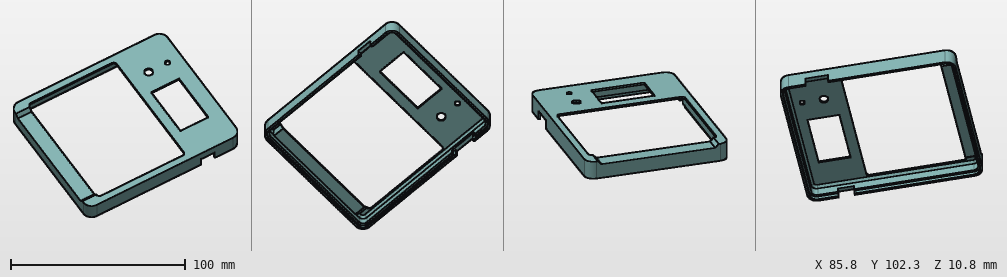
import cadquery as cq

WIDTH = 85.8
LENGTH = 102.3
HEIGHT = 10.8
CORNER_RADIUS = 5.5
TOP_THICKNESS = 1.2
WALL = 2.5

RIM_WALL = 1.2
RIM_HEIGHT = 2.4

WINDOW_WIDTH = 77.1
WINDOW_LENGTH = 58.3
WINDOW_RADIUS = 1.9
FRONT_BAR = 9.3

CHANNEL_DEPTH = 2.1
CHANNEL_FLOOR_WIDTH = 68.7

DISPLAY_WIDTH = 32.1
DISPLAY_LENGTH = 18.6
DISPLAY_CENTER = (7.0, 32.1)
HOLE_X = -22.2
LED_HOLE_DIAMETER = 3.0
LED_HOLE_Y = 41.7
BUTTON_HOLE_DIAMETER = 5.0
BUTTON_HOLE_Y = 29.1

NOTCH_Y = 29.1
NOTCH_HEIGHT = 5.2
LEFT_NOTCH_WIDTH = 13.2
RIGHT_NOTCH_WIDTH = 9.3
LEFT_RELIEF_WIDTH = 17.1

INNER_BEVEL = 1.5


def rounded_block(inset, bottom, top):
    """Block following the outer outline, moved inward by inset."""
    block = cq.Workplane("XY").workplane(offset=bottom)
    block = block.rect(WIDTH - 2 * inset, LENGTH - 2 * inset).extrude(top - bottom)
    return block.edges("|Z").fillet(CORNER_RADIUS - inset)


def channel_prism(base_z, floor_width):
    """Trapezoidal prism over the front bar, reaching up to the top face."""
    rise = HEIGHT - base_z
    half_floor = floor_width / 2
    half_top = half_floor + rise
    outline = [
        (-half_floor, base_z),
        (half_floor, base_z),
        (half_top, HEIGHT),
        (-half_top, HEIGHT),
    ]
    prism = cq.Workplane("XZ").workplane(offset=LENGTH / 2 - FRONT_BAR)
    return prism.polyline(outline).close().extrude(FRONT_BAR)


def top_opening(width, length, center):
    """Rectangular cutter through the full height."""
    return cq.Workplane("XY").center(*center).rect(width, length).extrude(HEIGHT)


def top_hole(diameter, y):
    """Round cutter through the full height."""
    return cq.Workplane("XY").center(HOLE_X, y).circle(diameter / 2).extrude(HEIGHT)


def side_notch(side, width):
    """Cutter for a notch open at the bottom; side is -1 (left) or 1 (right)."""
    notch = cq.Workplane("XY").center(side * (WIDTH - WALL) / 2, NOTCH_Y)
    return notch.rect(WALL, width).extrude(NOTCH_HEIGHT)


shell = rounded_block(0, 0, HEIGHT)
cavity = rounded_block(WALL, 0, HEIGHT - TOP_THICKNESS)
shell = shell.cut(cavity.faces(">Z").edges().chamfer(INNER_BEVEL))
shell = shell.cut(rounded_block(RIM_WALL, 0, RIM_HEIGHT))

dip_floor_z = HEIGHT - CHANNEL_DEPTH
shell = shell.union(channel_prism(dip_floor_z - TOP_THICKNESS, CHANNEL_FLOOR_WIDTH))
shell = shell.cut(channel_prism(dip_floor_z, CHANNEL_FLOOR_WIDTH))

window_y = -LENGTH / 2 + FRONT_BAR + WINDOW_LENGTH / 2
window = top_opening(WINDOW_WIDTH, WINDOW_LENGTH, (0, window_y))
shell = shell.cut(window.edges("|Z").fillet(WINDOW_RADIUS))
shell = shell.cut(top_opening(DISPLAY_WIDTH, DISPLAY_LENGTH, DISPLAY_CENTER))
shell = shell.cut(top_hole(LED_HOLE_DIAMETER, LED_HOLE_Y))
shell = shell.cut(top_hole(BUTTON_HOLE_DIAMETER, BUTTON_HOLE_Y))

shell = shell.cut(side_notch(-1, LEFT_NOTCH_WIDTH))
shell = shell.cut(side_notch(1, RIGHT_NOTCH_WIDTH))

relief = cq.Workplane("XY").center(-WIDTH / 2 + (RIM_WALL + WALL) / 2, NOTCH_Y)
shell = shell.cut(relief.rect(WALL - RIM_WALL, LEFT_RELIEF_WIDTH).extrude(NOTCH_HEIGHT))

result = shell